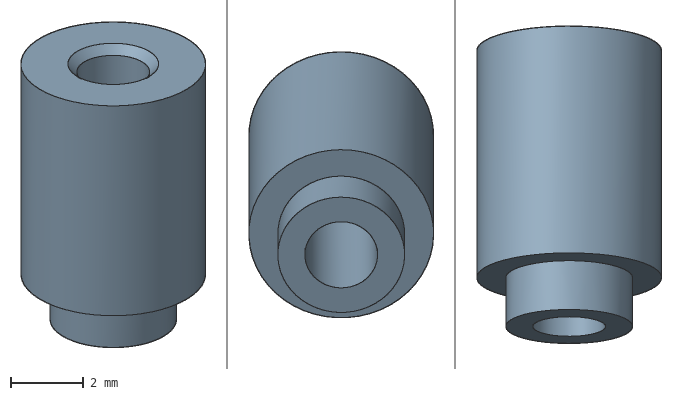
import cadquery as cq

total_height = 7.9
body_diameter = 5.1
spigot_diameter = 3.5
spigot_height = 1.4
bore_diameter = 2.01
bore_mouth_diameter = 2.505

body_height = total_height - spigot_height
bore_chamfer = (bore_mouth_diameter - bore_diameter) / 2

spigot = cq.Workplane("XY").circle(spigot_diameter / 2).extrude(spigot_height)
body = spigot.faces(">Z").workplane().circle(body_diameter / 2).extrude(body_height)

bored_body = body.faces(">Z").workplane().hole(bore_diameter)

result = bored_body.faces(">Z").edges("%CIRCLE").edges(
    cq.selectors.RadiusNthSelector(0)
).chamfer(bore_chamfer)